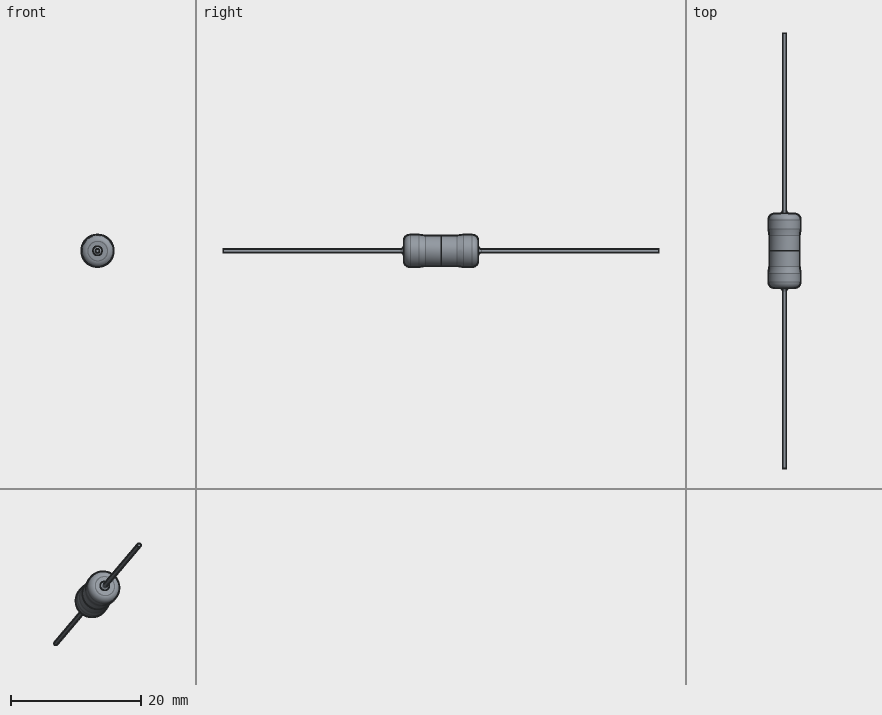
import cadquery as cq

overall_length = 66.85
body_diameter = 5.0
waist_diameter = 4.75
body_length = 11.5
end_round = 1.0
waist_half_length = 2.4
collar_start = 3.4
lead_diameter = 0.6
root_flare = 0.4

body_radius = body_diameter / 2
waist_radius = waist_diameter / 2
body_end = body_length / 2
lead_radius = lead_diameter / 2
lead_tip = overall_length / 2


def revolve_about_y(profile):
    """Turn a closed (radius, Y) profile once around the Y axis."""
    return profile.close().revolve(360, (0, 0, 0), (0, 1, 0))


def make_half_body():
    """Half of the body on the +Y side: waist, smooth shoulder, collar and rounded end."""
    profile = (
        cq.Workplane("XY")
        .lineTo(waist_radius, 0)
        .lineTo(waist_radius, waist_half_length)
        .spline([(body_radius, collar_start)], tangents=[(0, 1), (0, 1)], includeCurrent=True)
        .lineTo(body_radius, body_end - end_round)
        .radiusArc((body_radius - end_round, body_end), -end_round)
        .lineTo(0, body_end)
    )
    return revolve_about_y(profile)


def make_lead():
    """Wire lead on the +Y side, flared at its root on the end face of the body."""
    profile = (
        cq.Workplane("XY")
        .moveTo(0, body_end)
        .lineTo(lead_radius + root_flare, body_end)
        .radiusArc((lead_radius, body_end + root_flare), root_flare)
        .lineTo(lead_radius, lead_tip)
        .lineTo(0, lead_tip)
    )
    return revolve_about_y(profile)


bodies = []
for turn in (0, 180):
    for make_part in (make_half_body, make_lead):
        part = make_part().rotate((0, 0, 0), (0, 0, 1), turn)
        bodies.append(part.val())

result = cq.Compound.makeCompound(bodies)